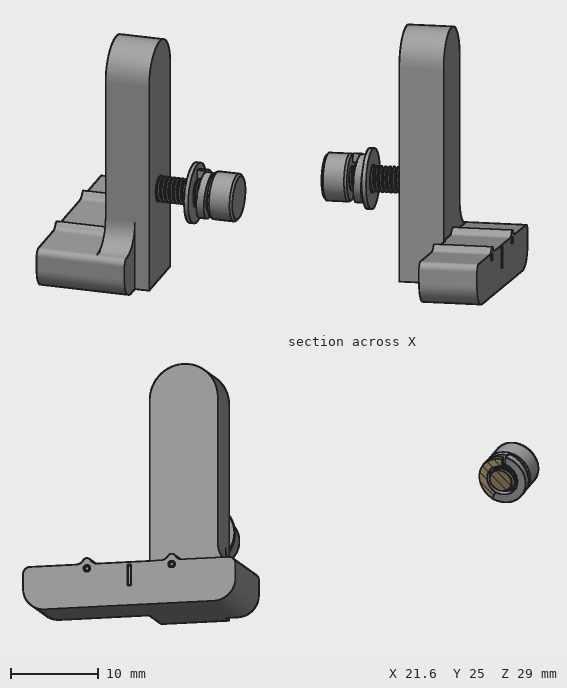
import cadquery as cq
import math

BASE_WIDTH = 25.0
BASE_HEIGHT = 5.0
LONG_SIDE_LENGTH = 10.5
SHORT_SIDE_LENGTH = 6.8
BOTTOM_CORNER_RADIUS = 2.5
TOP_CORNER_RADIUS = 0.8

RIDGE_OFFSET = 5.0
RIDGE_HEIGHT = 0.7
CREST_RADIUS = 0.5
FOOT_RADIUS = 1.02

SLOT_LENGTH = 2.5
SLOT_CENTER_Z = 3.48
SLOT_WIDTH = 0.5
SLOT_FLOOR_WIDTH = 0.3
DIMPLE_DIAMETER = 0.78
DIMPLE_FLOOR_DIAMETER = 0.5
DIMPLE_CENTER_Z = 4.5
MARK_STEP_DEPTH = 0.1

ARM_WIDTH = 8.0
ARM_CENTER_Y = -4.55
ARM_REAR_X = 7.0
ARM_FRONT_X = 12.18
TOTAL_HEIGHT = 29.0
SCREW_HOLE_DIAMETER = 3.02

SCREW_Z = 11.0
SCREW_END_X = 21.63
HEAD_DIAMETER = 5.5
HEAD_LENGTH = 3.0
HEAD_CHAMFER = 0.25
HEAD_SEAT_CHAMFER_RADIAL = 0.17
HEAD_SEAT_CHAMFER_AXIAL = 0.3
SHANK_LENGTH = 10.0
THREAD_DIAMETER = 3.0
THREAD_TURNS = 20
THREAD_DEPTH = 0.275
THREAD_CREST_WIDTH = 0.05
THREAD_ROOT_OVERLAP = 0.03
THREAD_FLANK_ANGLE = 30.0
THREAD_START_TURNS = 1.2

WASHER_REAR_X = 16.18
WASHER_THICKNESS = 0.5
WASHER_OUTER_DIAMETER = 7.0
WASHER_HOLE_DIAMETER = 3.2

LOCK_OUTER_DIAMETER = 5.6
LOCK_WALL = 1.02
LOCK_THICKNESS = 0.9
LOCK_PITCH = 1.02
LOCK_SWEEP_ANGLE = 355.0

ARM_RADIUS = ARM_WIDTH / 2
ARM_SIDE_Y = ARM_CENTER_Y - ARM_RADIUS
ARM_INNER_Y = ARM_CENTER_Y + ARM_RADIUS
CORE_RADIUS = THREAD_DIAMETER / 2 - THREAD_DEPTH
THREAD_PITCH = SHANK_LENGTH / THREAD_TURNS
HEAD_X = SCREW_END_X - HEAD_LENGTH
TIP_X = HEAD_X - SHANK_LENGTH
LOCK_REAR_X = WASHER_REAR_X + WASHER_THICKNESS


def plane_at(x, y, z):
    """Workplane facing +X, with local x along +Y and local y along +Z."""
    return cq.Workplane(cq.Plane(origin=(x, y, z), xDir=(0, 1, 0), normal=(1, 0, 0)))


def on_screw_axis(x):
    return plane_at(x, ARM_CENTER_Y, SCREW_Z)


def helix_sweep(section, start_x, pitch, length, radius, left_handed=False):
    """Sweep (radius, axial) points along a helix about the screw axis, starting above the axis."""
    path = cq.Workplane(cq.Wire.makeHelix(pitch, length, radius, lefthand=left_handed))
    coil = cq.Workplane("XZ").polyline(section).close().sweep(path, isFrenet=True)
    return (
        coil.rotate((0, 0, 0), (0, 1, 0), 90)
        .rotate((0, 0, 0), (1, 0, 0), 180)
        .translate((start_x, ARM_CENTER_Y, SCREW_Z))
    )


def base_bar():
    """Bar with rounded ends, shortened on the +Y side of the arm."""
    bar = plane_at(0, 0, BASE_HEIGHT / 2).rect(BASE_WIDTH, BASE_HEIGHT).extrude(LONG_SIDE_LENGTH)
    bar = bar.edges("|X and <Z").fillet(BOTTOM_CORNER_RADIUS)
    bar = bar.edges("|X and >Z").fillet(TOP_CORNER_RADIUS)
    relief = cq.Workplane("XY").box(
        LONG_SIDE_LENGTH - SHORT_SIDE_LENGTH,
        BASE_WIDTH / 2 - ARM_INNER_Y,
        BASE_HEIGHT,
        centered=False,
    )
    return bar.cut(relief.translate((SHORT_SIDE_LENGTH, ARM_INNER_Y, 0)))


def ridge(y):
    """Bump with a convex crest arc running tangentially into two concave foot arcs."""
    arc_angle = math.acos(1 - RIDGE_HEIGHT / (CREST_RADIUS + FOOT_RADIUS))
    crest_half_width = CREST_RADIUS * math.sin(arc_angle)
    foot_half_width = (CREST_RADIUS + FOOT_RADIUS) * math.sin(arc_angle)
    join_height = FOOT_RADIUS * (1 - math.cos(arc_angle))
    mid_foot_y = foot_half_width - FOOT_RADIUS * math.sin(arc_angle / 2)
    mid_foot_height = FOOT_RADIUS * (1 - math.cos(arc_angle / 2))
    return (
        plane_at(0, y, BASE_HEIGHT)
        .moveTo(-foot_half_width, 0)
        .threePointArc((-mid_foot_y, mid_foot_height), (-crest_half_width, join_height))
        .threePointArc((0, RIDGE_HEIGHT), (crest_half_width, join_height))
        .threePointArc((mid_foot_y, mid_foot_height), (foot_half_width, 0))
        .close()
        .extrude(SHORT_SIDE_LENGTH if y > ARM_INNER_Y else LONG_SIDE_LENGTH)
    )


def arm():
    """Upright plate from the floor to the rounded top."""
    thickness = ARM_FRONT_X - ARM_REAR_X
    shoulder_z = TOTAL_HEIGHT - ARM_RADIUS
    return (
        plane_at(ARM_REAR_X, ARM_CENTER_Y, 0)
        .moveTo(-ARM_RADIUS, 0)
        .lineTo(ARM_RADIUS, 0)
        .lineTo(ARM_RADIUS, shoulder_z)
        .threePointArc((0, TOTAL_HEIGHT), (-ARM_RADIUS, shoulder_z))
        .close()
        .extrude(thickness)
    )


def corner_web():
    """Concave web from the -Y side of the arm down to the base's rounded top corner."""
    radius = ARM_SIDE_Y + BASE_WIDTH / 2 - TOP_CORNER_RADIUS
    web_thickness = LONG_SIDE_LENGTH - ARM_REAR_X
    block = plane_at(ARM_REAR_X, ARM_SIDE_Y - radius / 2, BASE_HEIGHT + radius / 2)
    hollow = plane_at(ARM_REAR_X, ARM_SIDE_Y - radius, BASE_HEIGHT + radius)
    web = block.rect(radius, radius).extrude(web_thickness)
    return web.cut(hollow.circle(radius).extrude(web_thickness))


def rear_marks():
    """Two-step slot and dimples sunk into the rear face."""
    floor_length = SLOT_LENGTH - SLOT_WIDTH + SLOT_FLOOR_WIDTH
    slot = plane_at(0, 0, SLOT_CENTER_Z)
    marks = slot.slot2D(SLOT_LENGTH, SLOT_WIDTH, 90).extrude(MARK_STEP_DEPTH)
    marks = marks.union(slot.slot2D(floor_length, SLOT_FLOOR_WIDTH, 90).extrude(2 * MARK_STEP_DEPTH))
    for y in (-RIDGE_OFFSET, RIDGE_OFFSET):
        dimple = plane_at(0, y, DIMPLE_CENTER_Z)
        marks = marks.union(dimple.circle(DIMPLE_DIAMETER / 2).extrude(MARK_STEP_DEPTH))
        marks = marks.union(dimple.circle(DIMPLE_FLOOR_DIAMETER / 2).extrude(2 * MARK_STEP_DEPTH))
    return marks


def make_housing():
    body = base_bar().union(arm()).union(corner_web())
    for y in (-RIDGE_OFFSET, RIDGE_OFFSET):
        body = body.union(ridge(y))
    screw_hole = on_screw_axis(TIP_X).circle(SCREW_HOLE_DIAMETER / 2).extrude(ARM_FRONT_X - TIP_X)
    return body.cut(screw_hole).cut(rear_marks())


def thread_ridge():
    """Right-handed ridge, rooted slightly inside the core and ending inside the head."""
    crest_radius = THREAD_DIAMETER / 2
    buried_radius = CORE_RADIUS - THREAD_ROOT_OVERLAP
    crest_half = THREAD_CREST_WIDTH / 2
    buried_half = crest_half + (crest_radius - buried_radius) * math.tan(math.radians(THREAD_FLANK_ANGLE))
    section = [
        (buried_radius, -buried_half),
        (crest_radius, -crest_half),
        (crest_radius, crest_half),
        (buried_radius, buried_half),
    ]
    start = TIP_X + THREAD_START_TURNS * THREAD_PITCH
    length = HEAD_X + THREAD_PITCH / 2 - start
    return helix_sweep(section, start, THREAD_PITCH, length, crest_radius)


def screw_head():
    """Plain cylindrical head with a chamfer at each end."""
    head = on_screw_axis(HEAD_X).circle(HEAD_DIAMETER / 2).extrude(HEAD_LENGTH)
    head = head.faces(">X").chamfer(HEAD_CHAMFER)
    return head.faces("<X").chamfer(HEAD_SEAT_CHAMFER_AXIAL, HEAD_SEAT_CHAMFER_RADIAL)


def make_screw():
    core = on_screw_axis(TIP_X).circle(CORE_RADIUS).extrude(SHANK_LENGTH)
    return core.union(screw_head()).union(thread_ridge())


def make_flat_washer():
    return (
        on_screw_axis(WASHER_REAR_X)
        .circle(WASHER_OUTER_DIAMETER / 2)
        .circle(WASHER_HOLE_DIAMETER / 2)
        .extrude(WASHER_THICKNESS)
    )


def make_lock_washer():
    outer_radius = LOCK_OUTER_DIAMETER / 2
    inner_radius = outer_radius - LOCK_WALL
    section = [
        (inner_radius, 0),
        (outer_radius, 0),
        (outer_radius, LOCK_THICKNESS),
        (inner_radius, LOCK_THICKNESS),
    ]
    rise = LOCK_PITCH * LOCK_SWEEP_ANGLE / 360
    return helix_sweep(section, LOCK_REAR_X, LOCK_PITCH, rise, inner_radius, left_handed=True)


housing = make_housing()
screw = make_screw()
flat_washer = make_flat_washer()
lock_washer = make_lock_washer()

result = cq.Compound.makeCompound(
    [
        housing.solids().val(),
        screw.solids().val(),
        flat_washer.val(),
        lock_washer.val(),
    ]
)